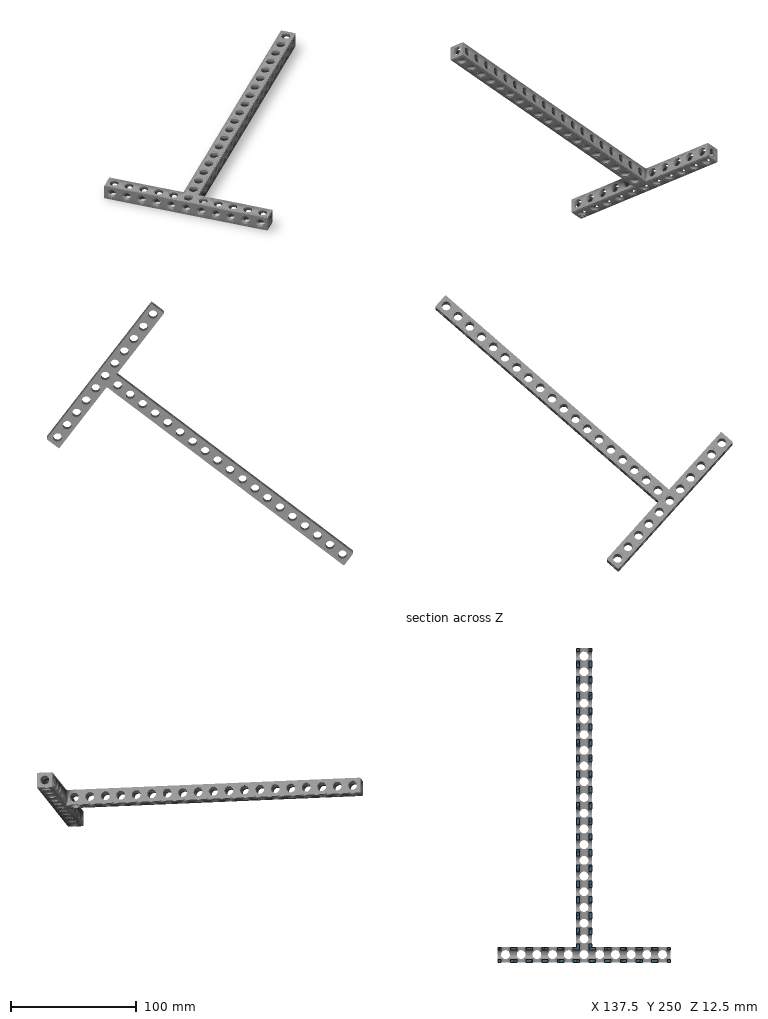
import cadquery as cq

PITCH = 12.5
CROSS_CELLS = 11
STEM_CELLS = 20
HOLE_DIA = 7.0
MOUTH_DIA = 9.2
STAIR_INSET = 0.3
STAIR_RISE = 0.15

cross_length = CROSS_CELLS * PITCH
stem_length = STEM_CELLS * PITCH
half = PITCH / 2
rim_inset = (MOUTH_DIA - HOLE_DIA) / 2
rim_depth = 2 * STAIR_RISE
narrow_mouth_dia = HOLE_DIA + 2 * STAIR_INSET

cross_x = [(i - (CROSS_CELLS - 1) / 2) * PITCH for i in range(CROSS_CELLS)]
stem_y = [i * PITCH for i in range(STEM_CELLS)]
cell_centres = [(x, 0) for x in cross_x] + [(0, y) for y in stem_y[1:]]


def tee(inset_x, inset_y, depth):
    """T block pulled in by an inset along X and Y, and by a depth from its top and bottom."""
    height = PITCH - 2 * depth
    cross = cq.Workplane("XY").box(cross_length - 2 * inset_x, PITCH - 2 * inset_y, height)
    stem = cq.Workplane("XY").box(PITCH - 2 * inset_x, stem_length - 2 * inset_y, height)
    return cross.union(stem.translate((0, stem_length / 2 - half, 0)))


def stepped_body():
    """Two crossed blocks leave notched upright corners; two taller ones form the edge stairs."""
    body = tee(STAIR_INSET, 0, rim_depth).union(tee(0, STAIR_INSET, rim_depth))
    body = body.union(tee(STAIR_INSET, STAIR_INSET, STAIR_RISE))
    return body.union(tee(rim_inset, rim_inset, 0))


def stepped_hole(start, direction, length, mouths):
    """Through hole; each mouth is a (diameter, depth) recess cut at both ends."""
    start = cq.Vector(*start)
    direction = cq.Vector(*direction)
    end = start + direction * length
    cutters = [cq.Solid.makeCylinder(HOLE_DIA / 2, length, start, direction)]
    for diameter, depth in mouths:
        cutters.append(cq.Solid.makeCylinder(diameter / 2, depth, start, direction))
        cutters.append(cq.Solid.makeCylinder(diameter / 2, depth, end, direction * -1))
    return cutters


vertical_mouths = [(narrow_mouth_dia, rim_depth), (MOUTH_DIA, STAIR_RISE)]
side_mouths = [(narrow_mouth_dia, STAIR_INSET)]
cutters = []

for x, y in cell_centres:
    cutters += stepped_hole((x, y, -half), (0, 0, 1), PITCH, vertical_mouths)

for x in cross_x:
    length = stem_length if x == 0 else PITCH
    cutters += stepped_hole((x, -half, 0), (0, 1, 0), length, side_mouths)

for y in stem_y:
    length = cross_length if y == 0 else PITCH
    cutters += stepped_hole((-length / 2, y, 0), (1, 0, 0), length, side_mouths)

result = cq.Workplane(obj=stepped_body().val().cut(*cutters))